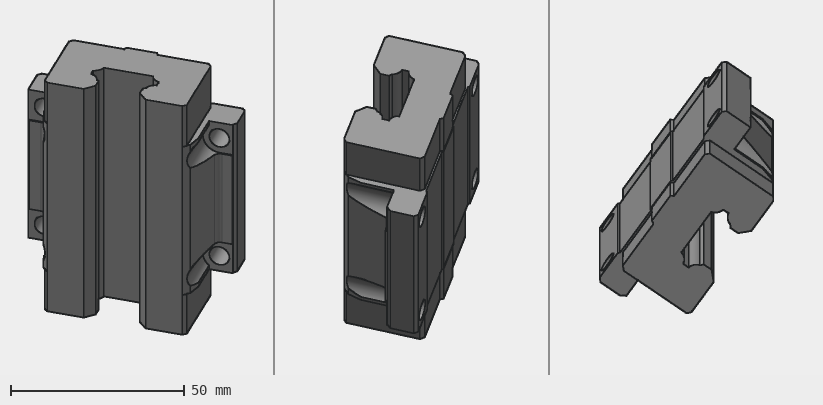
import cadquery as cq
import math

total_length = 77.8
total_height = 25.4
total_width = 63.0
half_body = 21.55
edge_chamfer = 1.1
cap_foot_rise = 0.9

block_bottom = 13.45
block_length = 50.4
block_middle = block_bottom + block_length / 2
block_relief_y = 24.9
half_pad_gap = 21.0
half_flange = total_width / 2
flange_under_y = 15.4
flange_chamfer = 1.0
right_lip = 0.9
right_lip_y = 17.3
right_lip_rise = 1.1
left_lip = 0.5
skirt_low = (22.3, 1.9)
skirt_lean = 15.0
skirt_fillet = 1.95

strip_half_top = 5.1
strip_half_base = 5.45
cap_strip_y = 25.2
cap_strip_half_top = 4.6
cap_strip_half_base = 5.1
cap_top_y = 24.3

hole_radius = 3.0
hole_x = 26.5
hole_pitch = 40.1
seat_radius = 5.0
seat_y = 15.9
end_relief_x = 23.4

channel_roof_y = 12.75
channel_half_roof = 7.5
groove_half = 9.95
groove_low_y = 8.4
groove_high_y = 10.35
upper_bulge = (8.3, 11.2)
lower_bulge = (8.2, 7.4)
lower_bulge_end = (7.55, 6.15)
throat_half = 6.7
throat_low_y = 2.7
throat_high_y = 5.45
mouth_half = 9.4


def left(point):
    """Mirror a point of the +X half to the -X half."""
    return (-point[0], point[1])


def mirrored(points):
    """Complete a left-right symmetric outline from its +X half."""
    return points + [left(point) for point in reversed(points)]


def extrude_outline(points, start, length):
    """Extrude a closed polygon along Z."""
    return cq.Workplane("XY").workplane(offset=start).polyline(points).close().extrude(length)


def end_cap(start, length):
    """Plate with bevelled edges and the raised middle strip."""
    return extrude_outline(
        mirrored([
            (half_body - edge_chamfer, 0),
            (half_body, cap_foot_rise),
            (half_body, cap_top_y - edge_chamfer),
            (half_body - edge_chamfer, cap_top_y),
            (cap_strip_half_base, cap_top_y),
            (cap_strip_half_top, cap_strip_y),
        ]),
        start,
        length,
    )


def fillet_ends():
    """Tangent points and middle of the arc joining the sloped side to the flange underside (+X side)."""
    lean = math.radians(skirt_lean)
    centre_y = flange_under_y - skirt_fillet
    face_y = centre_y + skirt_fillet * math.sin(lean)
    face_x = skirt_low[0] + (face_y - skirt_low[1]) * math.tan(lean)
    centre_x = face_x + skirt_fillet * math.cos(lean)
    middle_angle = (math.pi / 2 + math.pi - lean) / 2
    middle = (
        centre_x + skirt_fillet * math.cos(middle_angle),
        centre_y + skirt_fillet * math.sin(middle_angle),
    )
    return (face_x, face_y), middle, (centre_x, flange_under_y)


def flanged_block():
    """Block with two flanges; the two flanges differ only along their lower outer edges."""
    face_end, arc_middle, under_end = fillet_ends()
    pad_step = total_height - block_relief_y
    bottom_half = half_body - edge_chamfer
    right_under = half_flange - right_lip

    outline = (
        cq.Workplane("XY").workplane(offset=block_bottom)
        .moveTo(bottom_half, 0)
        .lineTo(*skirt_low)
        .lineTo(*face_end)
        .threePointArc(arc_middle, under_end)
        .lineTo(right_under, flange_under_y)
        .lineTo(right_under, right_lip_y - right_lip_rise)
        .lineTo(half_flange, right_lip_y)
        .lineTo(half_flange, total_height - flange_chamfer)
        .lineTo(half_flange - flange_chamfer, total_height)
        .lineTo(half_pad_gap + pad_step, total_height)
        .lineTo(half_pad_gap, block_relief_y)
        .lineTo(strip_half_base, block_relief_y)
        .lineTo(strip_half_top, total_height)
        .lineTo(-strip_half_top, total_height)
        .lineTo(-strip_half_base, block_relief_y)
        .lineTo(-half_pad_gap, block_relief_y)
        .lineTo(-half_pad_gap - pad_step, total_height)
        .lineTo(-half_flange + flange_chamfer, total_height)
        .lineTo(-half_flange, total_height - flange_chamfer)
        .lineTo(-half_flange, flange_under_y + left_lip)
        .lineTo(-half_flange + left_lip, flange_under_y)
        .lineTo(*left(under_end))
        .threePointArc(left(arc_middle), left(face_end))
        .lineTo(*left(skirt_low))
        .lineTo(-bottom_half, 0)
        .close()
    )
    return outline.extrude(block_length)


def rail_channel():
    """Full-length channel with rounded bulges that follow the ball tracks of the rail."""
    return (
        cq.Workplane("XY")
        .moveTo(mouth_half, 0)
        .lineTo(throat_half, throat_low_y)
        .lineTo(throat_half, throat_high_y)
        .lineTo(*lower_bulge_end)
        .threePointArc(lower_bulge, (groove_half, groove_low_y))
        .lineTo(groove_half, groove_high_y)
        .threePointArc(upper_bulge, (channel_half_roof, channel_roof_y))
        .lineTo(-channel_half_roof, channel_roof_y)
        .threePointArc(left(upper_bulge), (-groove_half, groove_high_y))
        .lineTo(-groove_half, groove_low_y)
        .threePointArc(left(lower_bulge), left(lower_bulge_end))
        .lineTo(-throat_half, throat_high_y)
        .lineTo(-throat_half, throat_low_y)
        .lineTo(-mouth_half, 0)
        .close()
        .extrude(total_length)
    )


def box_between(x_a, x_b, z_a, z_b):
    """Box from the open side of the part up to the hole seats."""
    return (
        cq.Workplane("XY")
        .box(abs(x_b - x_a), seat_y, abs(z_b - z_a), centered=False)
        .translate((min(x_a, x_b), 0, min(z_a, z_b)))
    )


def round_along_y(x, z, radius, height):
    """Cylinder rising from the open side of the part."""
    return cq.Workplane("XZ", origin=(x, 0, z)).circle(radius).extrude(-height)


def mounting_hole_cut(side, end):
    """Through hole and its seat; side is -1 or 1 along X, end is -1 or 1 along Z."""
    x = side * hole_x
    z = block_middle + end * hole_pitch / 2
    edge_x = side * half_flange
    inner_z = z - end * seat_radius
    end_z = block_middle + end * block_length / 2
    return (
        round_along_y(x, z, hole_radius, total_height)
        .union(round_along_y(x, z, seat_radius, seat_y))
        .union(box_between(x, edge_x, inner_z, end_z))
        .union(box_between(side * end_relief_x, edge_x, z, end_z))
    )


block = flanged_block()
for side in (-1, 1):
    for end in (-1, 1):
        block = block.cut(mounting_hole_cut(side, end))

block_top = block_bottom + block_length
result = (
    block
    .union(end_cap(0, block_bottom))
    .union(end_cap(block_top, total_length - block_top))
    .cut(rail_channel())
)